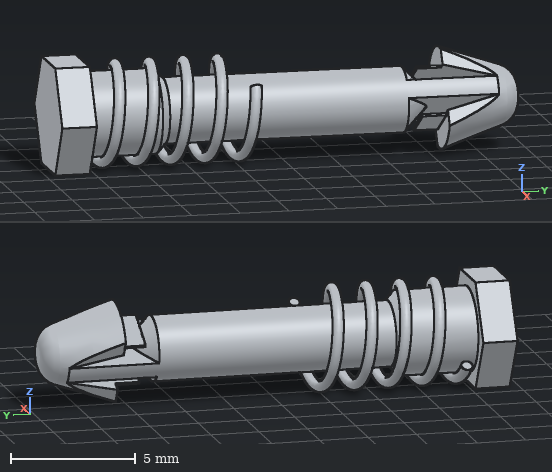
import cadquery as cq
import math

length = 19.23

head_corners = 5.08
head_flats = head_corners * math.cos(math.radians(30))
head_height = 1.42
shoulder_radius = 1.73
shoulder_top = 4.71
shaft_radius = 1.35
shaft_top = 14.54

nose_round = 0.9
barb_base = 16.08
barb_radius = 2.08
barb_half_width = 1.29
split_top = 18.25
web_half_thickness = 0.38
tip_turn = -30.0

plate_bottom = 15.1
plate_half_width = 0.9
plate_inner = 0.96
plate_thickness = 0.1

wire_diameter = 0.46
coil_radius = (head_flats - wire_diameter) / 2
coil_pitch = 1.4
coil_turns = 4.5
coil_start = 1.87
coil_start_angle = 145.0


def make_shaft():
    """Head, shoulder and shaft; both step ends are 45 degree cones."""
    shoulder_chamfer_start = shoulder_top - (shoulder_radius - shaft_radius)
    profile = [
        (0, 0),
        (shoulder_radius, 0),
        (shoulder_radius, shoulder_chamfer_start),
        (shaft_radius, shoulder_top),
        (shaft_radius, shaft_top),
        (0, shaft_top + shaft_radius),
    ]
    shaft = cq.Workplane("XZ").polyline(profile).close().revolve(360, (0, 0), (0, 1))
    head = cq.Workplane("XY").polygon(6, head_corners).extrude(head_height)
    return head.union(shaft)


def make_nose():
    """Solid nose cone, rounded tangentially into its flat end."""
    taper = math.atan2(barb_radius - shaft_radius, split_top - barb_base)
    round_center_z = length - nose_round
    round_start_z = round_center_z + nose_round * math.sin(taper)
    round_start_r = barb_radius - (round_start_z - barb_base) * math.tan(taper)
    round_center_r = round_start_r - nose_round * math.cos(taper)
    mid_angle = (taper + math.pi / 2) / 2
    round_middle = (
        round_center_r + nose_round * math.cos(mid_angle),
        round_center_z + nose_round * math.sin(mid_angle),
    )
    return (
        cq.Workplane("XZ")
        .moveTo(0, barb_base)
        .lineTo(barb_radius, barb_base)
        .lineTo(round_start_r, round_start_z)
        .threePointArc(round_middle, (round_center_r, length))
        .lineTo(0, length)
        .close()
        .revolve(360, (0, 0), (0, 1))
    )


def make_web():
    """Flat-sided strip of the shaft that carries the nose."""
    height = split_top - shaft_top
    round_bar = cq.Workplane("XY").workplane(offset=shaft_top).circle(shaft_radius).extrude(height)
    slab = (
        cq.Workplane("XY")
        .workplane(offset=shaft_top)
        .rect(2 * shaft_radius, 2 * web_half_thickness)
        .extrude(height)
    )
    return round_bar.intersect(slab)


def make_barb_sides():
    """Material removed outside the flat sides of the barbs."""
    side_width = barb_radius - barb_half_width
    side_center = (barb_radius + barb_half_width) / 2
    return (
        cq.Workplane("XY")
        .workplane(offset=barb_base)
        .pushPoints([(-side_center, 0), (side_center, 0)])
        .rect(side_width, 2 * barb_radius)
        .extrude(split_top - barb_base)
    )


def make_split():
    """Material removed between the barbs; it widens towards their base."""
    profile = [
        (-plate_inner, barb_base),
        (plate_inner, barb_base),
        (web_half_thickness, split_top),
        (-web_half_thickness, split_top),
    ]
    return cq.Workplane("YZ").polyline(profile).close().extrude(barb_radius, both=True)


def make_plates():
    """One thin plate below each barb, parallel to the web."""
    plate_center = plate_inner + plate_thickness / 2
    return (
        cq.Workplane("XY")
        .workplane(offset=plate_bottom)
        .pushPoints([(0, -plate_center), (0, plate_center)])
        .rect(2 * plate_half_width, plate_thickness)
        .extrude(barb_base - plate_bottom)
    )


def make_pin():
    barbs = make_nose().cut(make_barb_sides()).cut(make_split())
    tip = barbs.union(make_web()).union(make_plates())
    tip = tip.rotate((0, 0, 0), (0, 0, 1), tip_turn)
    return make_shaft().union(tip)


def make_spring():
    """Round wire swept along a left-handed helix."""
    helix = cq.Wire.makeHelix(coil_pitch, coil_pitch * coil_turns, coil_radius, lefthand=True)
    spring = (
        cq.Workplane("XZ")
        .center(coil_radius, 0)
        .circle(wire_diameter / 2)
        .sweep(cq.Workplane(helix), isFrenet=True)
    )
    return spring.rotate((0, 0, 0), (0, 0, 1), coil_start_angle).translate((0, 0, coil_start))


def lay_along_y(body):
    return body.rotate((0, 0, 0), (1, 0, 0), -90)


pin = lay_along_y(make_pin())
spring = lay_along_y(make_spring())

result = cq.Compound.makeCompound([pin.val(), spring.val()])